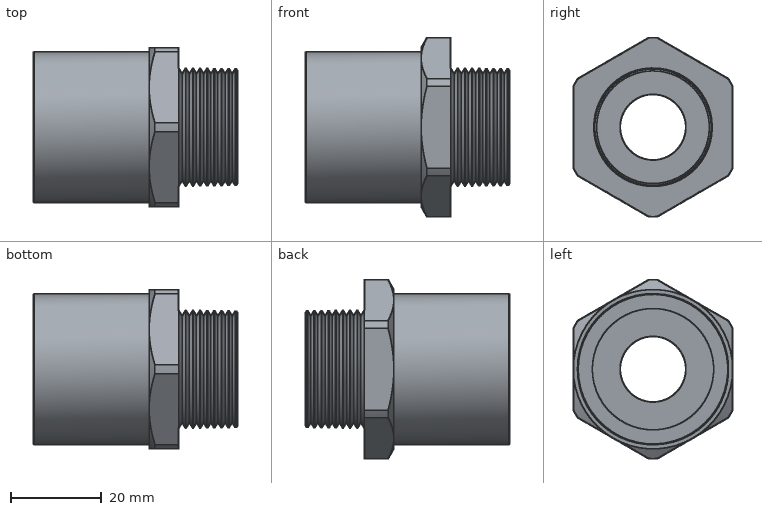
import cadquery as cq
import math

total_length = 44.95
socket_length = 25.5
hex_width = 6.47
hex_start = socket_length
hex_end = hex_start + hex_width

body_radius = 16.65
body_chamfer = 0.2
socket_radius = 13.35
bore_radius = 7.2

across_flats = 35.05
rounded_corner_diameter = 39.45
corner_radius = rounded_corner_diameter / 2
collar_chamfer_angle = 30.0

pitch = 1.57
crest_radius = 13.05
root_radius = 11.8
tip_radius = 12.8


def revolve_about_x(points):
    """Revolve a closed (x, radius) outline around the X axis."""
    return cq.Workplane("XY").polyline(points).close().revolve(360, (0, 0, 0), (1, 0, 0))


def cylinder(start, end, radius):
    return cq.Workplane("YZ", origin=(start, 0, 0)).circle(radius).extrude(end - start)


def make_body():
    body = cylinder(0, hex_end, body_radius)
    return body.faces("<X").edges().chamfer(body_chamfer)


def make_collar():
    hexagon = (
        cq.Workplane("YZ", origin=(hex_start, 0, 0))
        .polygon(6, across_flats, circumscribed=True)
        .extrude(hex_width)
    )
    face_radius = across_flats / 2
    chamfer_length = (corner_radius - face_radius) * math.tan(math.radians(collar_chamfer_angle))
    envelope = revolve_about_x([
        (hex_start, 0),
        (hex_start, face_radius),
        (hex_start + chamfer_length, corner_radius),
        (hex_end, corner_radius),
        (hex_end, 0),
    ])
    return hexagon.intersect(envelope)


def make_thread():
    crest_count = math.ceil((total_length - hex_end) / pitch)
    profile = [(hex_end, 0)]
    for turn in range(crest_count):
        crest_x = hex_end + turn * pitch
        profile.append((crest_x, crest_radius))
        profile.append((crest_x + pitch / 2, root_radius))
    profile.append((profile[-1][0], 0))
    ridges = revolve_about_x(profile)

    envelope = revolve_about_x([
        (hex_end, 0),
        (hex_end, crest_radius),
        (total_length, tip_radius),
        (total_length, 0),
    ])
    return ridges.intersect(envelope)


socket = cylinder(0, socket_length, socket_radius)
bore = cylinder(0, total_length, bore_radius)

result = make_body().union(make_collar()).union(make_thread()).cut(socket).cut(bore)